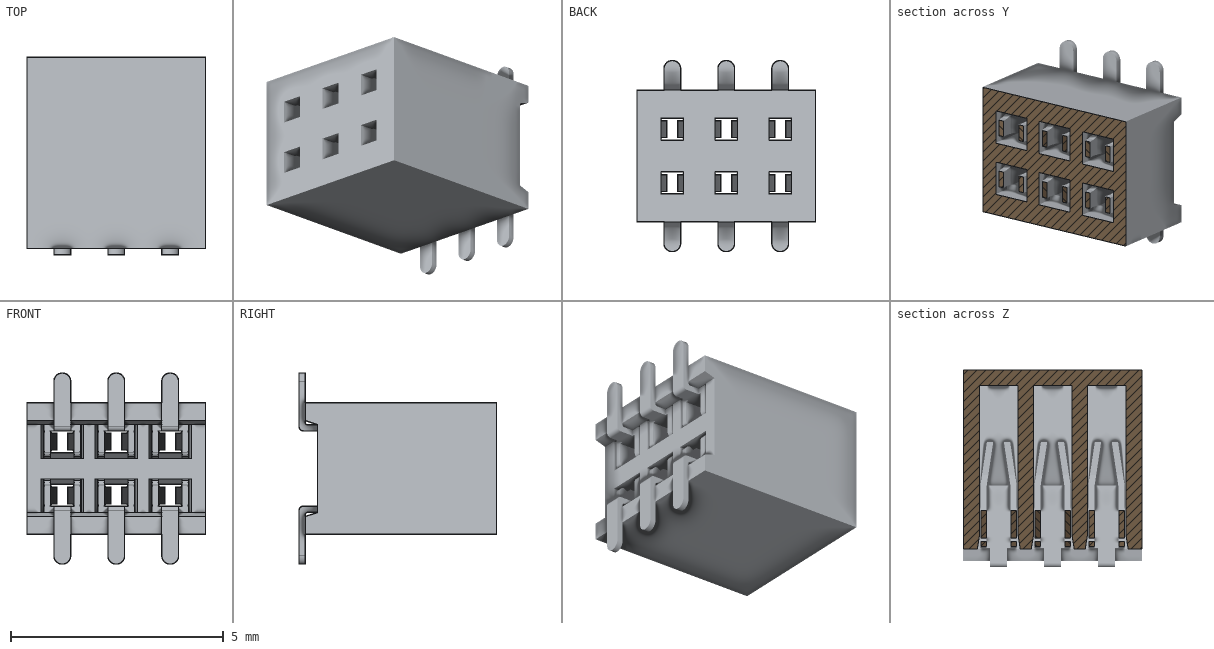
import cadquery as cq


columns = 3
pitch = 1.27
row_axis = pitch / 2
sheet = 0.15

housing_width = 4.21
housing_height = 3.1
overall_depth = 4.65
housing_depth = overall_depth - sheet
floor_depth = 0.285
rim_inner_at_edge = 1.125
cavity_outer = 1.03
cavity_inner = 0.24
cavity_mouth_width = 1.0
cavity_width = 0.895
mouth_taper_end = floor_depth + 0.335
back_wall = 0.37
pin_hole = 0.52
cavity_end = housing_depth - back_wall

channel_width = 0.855
channel_front = floor_depth + 0.02
arm_inner_edge = 0.28
arm_round = 0.1
notch_start = 0.42
notch_bottom = 0.51
notch_edge = 0.33
barb_tip = 0.605
barb_edge = 0.25
taper_start = 0.835
taper_end = 2.015

beam_height = 0.4
beam_bend = 1.765
beam_tip = 2.79
tip_gap = 0.25

lead_width = 0.4
lead_span = 4.5
lead_end = lead_span / 2
bend_outer_radius = 0.1
bend_inner_radius = 0.055


def box(x_size, y_range, z_range):
    """Box centred on X, between two Y and two Z positions."""
    y_size = y_range[1] - y_range[0]
    z_size = z_range[1] - z_range[0]
    return cq.Workplane("XY").box(x_size, y_size, z_size, centered=(True, False, False)).translate(
        (0, y_range[0], z_range[0])
    )


def place(upper_body, column, row):
    """Copy of an upper-row body at the given column; the lower row is turned half a turn about Y."""
    x = (column - (columns - 1) / 2) * pitch
    turn = 0 if row > 0 else 180
    return upper_body.rotate((0, 0, 0), (0, 1, 0), turn).translate((x, 0, 0))


def make_cavity():
    """Space for one upper contact: side walls drawing in behind the mouth, and a square pin hole."""
    mouth_x = cavity_mouth_width / 2
    wall_x = cavity_width / 2
    pocket = (
        cq.Workplane("XY", origin=(0, 0, cavity_inner))
        .moveTo(-mouth_x, floor_depth)
        .lineTo(mouth_x, floor_depth)
        .lineTo(wall_x, mouth_taper_end)
        .lineTo(wall_x, cavity_end)
        .lineTo(-wall_x, cavity_end)
        .lineTo(-wall_x, mouth_taper_end)
        .close()
        .extrude(cavity_outer - cavity_inner)
    )
    hole_z = (row_axis - pin_hole / 2, row_axis + pin_hole / 2)
    return pocket.union(box(pin_hole, (cavity_end, housing_depth), hole_z))


def make_housing(cavity):
    """Block with a trough across its solder side, between two bevelled rims, and a cavity per contact."""
    block = box(housing_width, (0, housing_depth), (-housing_height / 2, housing_height / 2))
    trough = (
        cq.Workplane("YZ")
        .moveTo(0, rim_inner_at_edge)
        .lineTo(floor_depth, cavity_outer)
        .lineTo(floor_depth, -cavity_outer)
        .lineTo(0, -rim_inner_at_edge)
        .close()
        .extrude(housing_width / 2, both=True)
    )
    housing = block.cut(trough)
    for row in (1, -1):
        for column in range(columns):
            housing = housing.cut(place(cavity, column, row))
    return housing


def make_arms():
    """Both arms with their spring beams: the plan shape trimmed to the side shape."""
    arm_outer_x = channel_width / 2
    arm_inner_x = arm_outer_x - sheet
    arm_plan = (
        cq.Workplane("XY")
        .moveTo(-arm_outer_x, channel_front)
        .lineTo(-arm_inner_x, channel_front)
        .lineTo(-arm_inner_x, beam_bend)
        .lineTo(-tip_gap / 2, beam_tip)
        .lineTo(-tip_gap / 2 - sheet, beam_tip)
        .lineTo(-arm_outer_x, beam_bend)
        .close()
        .extrude(cavity_outer)
    )
    beam_top = row_axis + beam_height / 2
    beam_bottom = row_axis - beam_height / 2
    arm_side = (
        cq.Workplane("YZ")
        .moveTo(channel_front, cavity_outer)
        .lineTo(channel_front, arm_inner_edge + arm_round)
        .tangentArcPoint((channel_front + arm_round, arm_inner_edge), relative=False)
        .lineTo(notch_start, arm_inner_edge)
        .lineTo(notch_bottom, notch_edge)
        .lineTo(barb_tip, barb_edge)
        .lineTo(taper_start, barb_edge)
        .lineTo(taper_end, beam_bottom)
        .lineTo(beam_tip, beam_bottom)
        .lineTo(beam_tip, beam_top)
        .lineTo(taper_end, beam_top)
        .lineTo(taper_start, cavity_outer)
        .close()
        .extrude(channel_width / 2, both=True)
    )
    return arm_plan.union(arm_plan.mirror("YZ")).intersect(arm_side)


def make_lead():
    """Strip from the base plate, bent outwards over the rim, with a full-round end."""
    base_inner = cavity_outer - sheet
    tip_radius = lead_width / 2
    tip_center = lead_end - tip_radius
    strip = (
        cq.Workplane("YZ")
        .moveTo(channel_front, base_inner)
        .lineTo(bend_outer_radius - sheet, base_inner)
        .tangentArcPoint((-sheet, base_inner + bend_outer_radius), relative=False)
        .lineTo(-sheet, tip_center)
        .lineTo(0, tip_center)
        .lineTo(0, cavity_outer + bend_inner_radius)
        .tangentArcPoint((bend_inner_radius, cavity_outer), relative=False)
        .lineTo(channel_front, cavity_outer)
        .close()
        .extrude(lead_width / 2, both=True)
    )
    tip = cq.Workplane("XZ").center(0, tip_center).circle(tip_radius).extrude(sheet)
    return strip.union(tip)


def make_contact():
    """One upper contact: base plate, arms with spring beams, and solder lead."""
    base = box(channel_width, (channel_front, beam_bend), (cavity_outer - sheet, cavity_outer))
    return base.union(make_arms()).union(make_lead())


housing = make_housing(make_cavity())
upper_contact = make_contact()
contacts = [place(upper_contact, column, row) for row in (1, -1) for column in range(columns)]

bodies = [housing, *contacts]
result = cq.Compound.makeCompound([body.solids().val() for body in bodies])